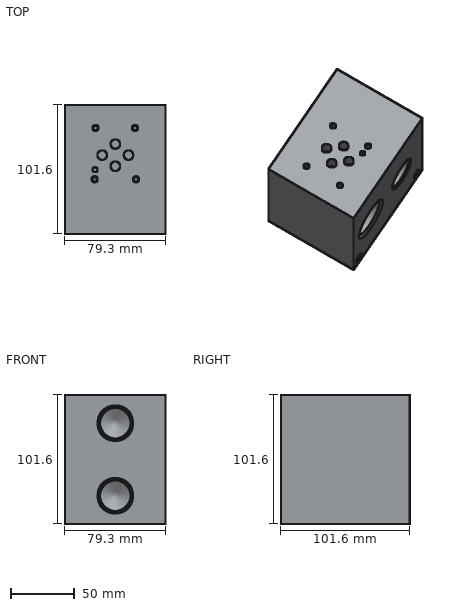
import cadquery as cq
import math

WIDTH = 79.3
LENGTH = 101.6
HEIGHT = 101.6
LEFT_X = -WIDTH / 2
FRONT_Y = -LENGTH / 2

POINT_ANGLE = 118.0
THREAD_TAPER = 1 / 16
CUT_MARGIN = 1.0

SMALL_PORT = (27.9, 25.3, 20.3)
LARGE_PORT = (35.4, 31.6, 26.4)

FRONT_PORT_OFFSET = 28.5

PORT_P_Y = -20.3
PORT_T_Y = 25.2

GAUGE_Y = 42.7
GAUGE_Z = 8.1
GAUGE_MOUTH = 8.0
GAUGE_DIAMETER = 6.4
GAUGE_DEPTH = 14.2

VALVE_Y = 11.3
VALVE_PORT_DIAMETER = 7.5
VALVE_PORT_DEPTH = 14.2
VALVE_PORT_X = 10.4
VALVE_PORT_Y = 8.7

SCREW_ROWS = [(15.3, 21.4), (16.0, -19.0)]
SCREW_MOUTH = 4.8
SCREW_DIAMETER = 3.7
SCREW_DEPTH = 12.2

PIN_X = -16.0
PIN_OFFSET_Y = -11.5
PIN_DIAMETER = 4.0
PIN_DEPTH = 5.1


def drilled_hole(mouth_diameter, diameter, depth, taper=0.0):
    """Cutter along -Z from the origin: 45 degree chamfer, bore, conical drill point."""
    mouth_radius = mouth_diameter / 2
    bore_radius = diameter / 2
    chamfer_depth = mouth_radius - bore_radius
    end_radius = bore_radius - (depth - chamfer_depth) * taper / 2
    point_depth = end_radius / math.tan(math.radians(POINT_ANGLE / 2))
    return (
        cq.Workplane("XZ")
        .moveTo(0, CUT_MARGIN)
        .lineTo(mouth_radius, CUT_MARGIN)
        .lineTo(mouth_radius, 0)
        .lineTo(bore_radius, -chamfer_depth)
        .lineTo(end_radius, -depth)
        .lineTo(0, -depth - point_depth)
        .close()
        .revolve(360, (0, 0, 0), (0, 1, 0))
    )


def on_front(cutter, x, z):
    """Turn a -Z cutter to point along +Y and place it on the front face."""
    return cutter.rotate((0, 0, 0), (1, 0, 0), 90).translate((x, FRONT_Y, z))


def on_left(cutter, y, z):
    """Turn a -Z cutter to point along +X and place it on the left face."""
    return cutter.rotate((0, 0, 0), (0, 1, 0), -90).translate((LEFT_X, y, z))


def flat_holes(points, diameter, depth):
    """Flat-bottomed cutters going down from the top face."""
    return cq.Workplane("XY").workplane(offset=HEIGHT).pushPoints(points).circle(diameter / 2).extrude(-depth)


block = cq.Workplane("XY").box(WIDTH, LENGTH, HEIGHT, centered=(True, True, False))

small_port = drilled_hole(*SMALL_PORT, THREAD_TAPER)
for side in (-1, 1):
    block = block.cut(on_front(small_port, 0, HEIGHT / 2 + side * FRONT_PORT_OFFSET))

large_port = drilled_hole(*LARGE_PORT, THREAD_TAPER)
block = block.cut(on_left(small_port, PORT_P_Y, HEIGHT / 2))
block = block.cut(on_left(large_port, PORT_T_Y, HEIGHT / 2))

gauge_hole = drilled_hole(GAUGE_MOUTH, GAUGE_DIAMETER, GAUGE_DEPTH)
for side in (-1, 1):
    block = block.cut(on_left(gauge_hole, side * GAUGE_Y, GAUGE_Z))

valve_ports = [
    (-VALVE_PORT_X, VALVE_Y),
    (VALVE_PORT_X, VALVE_Y),
    (0, VALVE_Y - VALVE_PORT_Y),
    (0, VALVE_Y + VALVE_PORT_Y),
]
block = block.cut(flat_holes(valve_ports, VALVE_PORT_DIAMETER, VALVE_PORT_DEPTH))

screw_hole = drilled_hole(SCREW_MOUTH, SCREW_DIAMETER, SCREW_DEPTH)
for half_spacing, offset_y in SCREW_ROWS:
    for side in (-1, 1):
        block = block.cut(screw_hole.translate((side * half_spacing, VALVE_Y + offset_y, HEIGHT)))

block = block.cut(flat_holes([(PIN_X, VALVE_Y + PIN_OFFSET_Y)], PIN_DIAMETER, PIN_DEPTH))

result = block